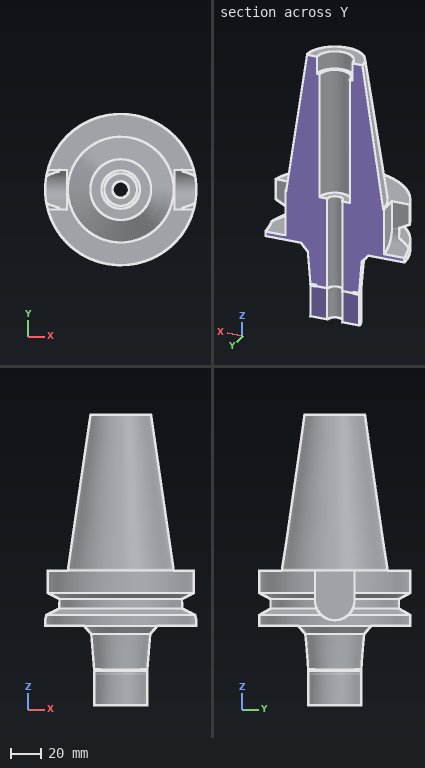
import cadquery as cq

total_height = 191.8
nut_top_z = 22.8
nut_chamfer_height = 2.1
nut_chamfer_width = 0.2
nut_radius = 17.6

neck_radius = 13.6
nose_bottom_z = 23.8
nose_bottom_radius = 17.6
nose_top_z = 47.2
nose_top_radius = 19.5
collar_radius = 24.4

flange_radius = 100.0 / 2
flange_bottom_z = 52.5
lower_rim_top_z = 59.6
groove_bottom_z = 63.9
groove_top_z = 70.2
upper_rim_bottom_z = 74.2
flange_top_z = 89.0
groove_radius = 42.5

gauge_z = 90.0
gauge_radius = 35.0
taper_ratio = 7 / 24
taper_top_radius = gauge_radius - (total_height - gauge_z) * taper_ratio / 2

slot_width = 26.0
slot_floor_x = 35.5
slot_bottom_z = 56.2

entry_bore_radius = 12.7
entry_bore_depth = 12.7
thread_bore_radius = 10.7
thread_bore_bottom_z = flange_top_z
through_bore_radius = 5.4


def revolve_profile(points):
    """Turn a closed (radius, height) outline around the Z axis."""
    return cq.Workplane("XZ").polyline(points).close().revolve(360, (0, 0), (0, 1))


def make_drive_slot(side):
    """Round-bottomed slot cutter, open at the flange rim and top; side is +1 or -1 along X."""
    slot_radius = slot_width / 2
    arc_center_z = slot_bottom_z + slot_radius
    return (
        cq.Workplane("YZ", origin=(side * slot_floor_x, 0, 0))
        .moveTo(-slot_radius, flange_top_z)
        .lineTo(-slot_radius, arc_center_z)
        .threePointArc((0, slot_bottom_z), (slot_radius, arc_center_z))
        .lineTo(slot_radius, flange_top_z)
        .close()
        .extrude(side * flange_radius)
    )


def make_holder():
    """Tool holder: bored taper shank, grooved flange with two drive slots, and nose."""
    entry_bore_bottom_z = total_height - entry_bore_depth
    holder = revolve_profile([
        (through_bore_radius, nut_top_z),
        (through_bore_radius, thread_bore_bottom_z),
        (thread_bore_radius, thread_bore_bottom_z),
        (thread_bore_radius, entry_bore_bottom_z),
        (entry_bore_radius, entry_bore_bottom_z),
        (entry_bore_radius, total_height),
        (taper_top_radius, total_height),
        (gauge_radius, gauge_z),
        (gauge_radius, flange_top_z),
        (flange_radius, flange_top_z),
        (flange_radius, upper_rim_bottom_z),
        (groove_radius, groove_top_z),
        (groove_radius, groove_bottom_z),
        (flange_radius, lower_rim_top_z),
        (flange_radius, flange_bottom_z),
        (collar_radius, flange_bottom_z),
        (nose_top_radius, nose_top_z),
        (nose_bottom_radius, nose_bottom_z),
        (neck_radius, nose_bottom_z),
        (neck_radius, nut_top_z),
    ])
    for side in (-1, 1):
        holder = holder.cut(make_drive_slot(side))
    return holder


def make_nut():
    """Round nut against the neck, with a steep chamfer on its upper edge."""
    return revolve_profile([
        (through_bore_radius, 0),
        (nut_radius, 0),
        (nut_radius, nut_top_z - nut_chamfer_height),
        (nut_radius - nut_chamfer_width, nut_top_z),
        (through_bore_radius, nut_top_z),
    ])


holder = make_holder()
nut = make_nut()

result = cq.Compound.makeCompound([holder.val(), nut.val()])